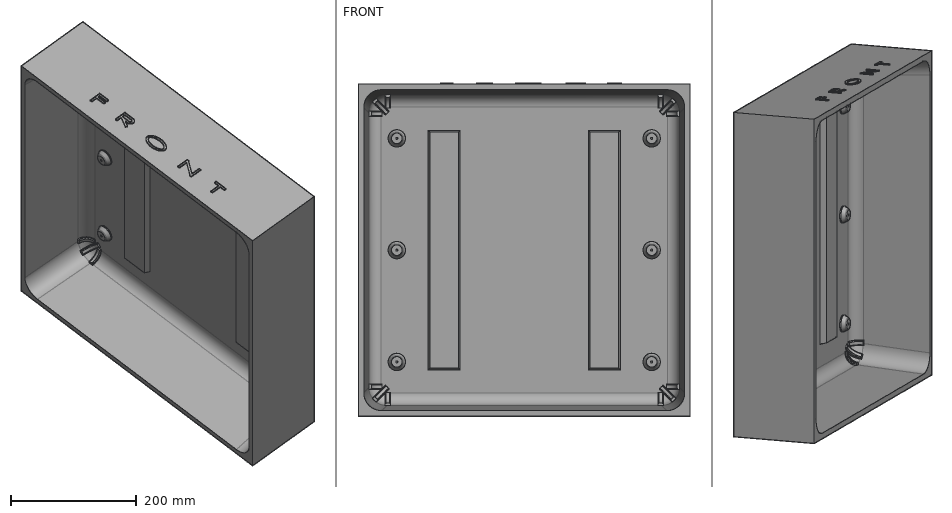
import cadquery as cq
import math

OVERALL_HEIGHT = 530.0
LETTER_RISE = 1.5
WIDTH = 527.0
HEIGHT = OVERALL_HEIGHT - LETTER_RISE
DEPTH = 137.0
WALL = 8.5
OPENING = WIDTH - 2 * WALL
WALL_DRAFT = 4.25
CORNER_RADIUS = 28.5
FLOOR_FILLET = 19.5

FRONT_Y = -DEPTH / 2
FLOOR_Y = DEPTH / 2 - WALL
CAVITY_DEPTH = DEPTH - WALL
FLOOR_INSET = WALL + CAVITY_DEPTH * math.tan(math.radians(WALL_DRAFT))

RIB_WIDTH = 8.5
RIB_RISE = 2.5
RIB_CHAMFER = 1.5
RIB_EMBED = 4.0
SIDE_RIB_TOE = CORNER_RADIUS - FLOOR_FILLET
DIAGONAL_RIB_TOE = 1.0

PAD_WIDTH = 51.0
PAD_LENGTH = 380.5
PAD_HEIGHT = 10.0
PAD_DRAFT = 15.0
PAD_OFFSET_X = 127.0

BOSS_BASE_RADIUS = 14.0
BOSS_TOP_RADIUS = 10.0
BOSS_HEIGHT = 10.0
BOSS_FOOT_HEIGHT = 2.0
BOSS_CHAMFER = 1.5
BOSS_HOLE_RADIUS = 1.5
BOSS_OFFSET_X = 202.5
BOSS_PITCH_Z = 177.5

LETTER_SIZE = 21.0
STROKE = 3.5
LETTER_BASE_Y = FRONT_Y + 26.0
F_LEFT, F_WIDTH = -133.0, 20.0
R_LEFT, R_WIDTH = -76.0, 25.5
O_CENTER, O_WIDTH, O_HEIGHT = 6.5, 40.5, 22.5
N_LEFT, N_WIDTH = 66.5, 31.0
T_LEFT, T_WIDTH = 132.0, 22.5


def floor_plane(x, z):
    """Plane on the cavity floor whose normal points to the open side."""
    return cq.Workplane(cq.Plane((x, FLOOR_Y, z), (1, 0, 0), (0, -1, 0)))


def make_tray():
    cavity = (
        cq.Workplane(cq.Plane((0, FRONT_Y, 0), (1, 0, 0), (0, 1, 0)))
        .rect(OPENING, OPENING)
        .extrude(CAVITY_DEPTH, taper=WALL_DRAFT)
    )
    cavity = cavity.edges("not(|X or |Z)").fillet(CORNER_RADIUS)
    cavity = cavity.faces(">Y").edges().fillet(FLOOR_FILLET)
    return cq.Workplane("XY").box(WIDTH, DEPTH, HEIGHT).cut(cavity)


def make_rib(toe):
    """Rib along +X from the corner axis; Y is the height above the floor."""
    heel = CORNER_RADIUS - RIB_RISE
    outer = CORNER_RADIUS + RIB_EMBED
    run = heel - toe
    climb = FLOOR_FILLET - RIB_RISE
    half_sweep = math.atan2(climb, run)
    arc_radius = run / math.sin(2 * half_sweep)
    arc_middle = (
        toe + arc_radius * math.sin(half_sweep),
        RIB_RISE + arc_radius * (1 - math.cos(half_sweep)),
    )
    return (
        cq.Workplane("XY", origin=(0, 0, -RIB_WIDTH / 2))
        .moveTo(outer, FLOOR_FILLET)
        .lineTo(outer, -RIB_EMBED)
        .lineTo(toe, -RIB_EMBED)
        .lineTo(toe, RIB_RISE)
        .threePointArc(arc_middle, (heel, FLOOR_FILLET))
        .close()
        .extrude(RIB_WIDTH)
        .faces("%CYLINDER")
        .edges("not |Z")
        .chamfer(RIB_CHAMFER)
    )


def make_corner_ribs(side_x, side_z):
    """Three ribs fanned out about the axis of one cavity corner."""
    axis_offset = WIDTH / 2 - FLOOR_INSET - CORNER_RADIUS
    ribs = []
    for direction_x, direction_z, toe in (
        (side_x, 0, SIDE_RIB_TOE),
        (side_x, side_z, DIAGONAL_RIB_TOE),
        (0, side_z, SIDE_RIB_TOE),
    ):
        heading = math.degrees(math.atan2(direction_z, direction_x))
        rib = make_rib(toe).rotate((0, 0, 0), (1, 0, 0), 180)
        rib = rib.rotate((0, 0, 0), (0, 1, 0), -heading)
        ribs.append(rib.translate((side_x * axis_offset, FLOOR_Y, side_z * axis_offset)))
    return ribs


def make_pad(x):
    return floor_plane(x, 0).rect(PAD_WIDTH, PAD_LENGTH).extrude(PAD_HEIGHT, taper=PAD_DRAFT)


def make_boss(x, z):
    """Boss with a short straight foot, a conical body and a central hole."""
    profile = [
        (BOSS_HOLE_RADIUS, 0),
        (BOSS_BASE_RADIUS, 0),
        (BOSS_BASE_RADIUS, -BOSS_FOOT_HEIGHT),
        (BOSS_TOP_RADIUS, BOSS_CHAMFER - BOSS_HEIGHT),
        (BOSS_TOP_RADIUS - BOSS_CHAMFER, -BOSS_HEIGHT),
        (BOSS_HOLE_RADIUS, -BOSS_HEIGHT),
    ]
    boss = cq.Workplane("XY").polyline(profile).close().revolve(360, (0, 0, 0), (0, 1, 0))
    return boss.translate((x, FLOOR_Y, z))


def letter_plane(x, y=0):
    """Plane on the top wall, with Y measured from the foot of the letters."""
    return cq.Workplane(cq.Plane((x, LETTER_BASE_Y + y, HEIGHT / 2)))


def make_stroke(x0, y0, x1, y1):
    """Straight letter stroke between two points of its centre line."""
    angle = math.degrees(math.atan2(y1 - y0, x1 - x0))
    return (
        letter_plane((x0 + x1) / 2, (y0 + y1) / 2)
        .transformed(rotate=(0, 0, angle))
        .rect(math.hypot(x1 - x0, y1 - y0), STROKE)
        .extrude(LETTER_RISE)
    )


def make_letters():
    half = STROKE / 2
    cap = LETTER_SIZE - half
    middle = LETTER_SIZE / 2

    def stem(x):
        return make_stroke(x, 0, x, LETTER_SIZE)

    letter_f = [
        stem(F_LEFT + half),
        make_stroke(F_LEFT, cap, F_LEFT + F_WIDTH, cap),
        make_stroke(F_LEFT, middle + half, F_LEFT + F_WIDTH, middle + half),
    ]

    bowl_radius = (LETTER_SIZE - middle + half) / 2
    bowl_x = R_LEFT + R_WIDTH - bowl_radius
    bowl_y = LETTER_SIZE - bowl_radius
    bowl_bar = 2 * bowl_y - cap
    bowl = (
        letter_plane(bowl_x, bowl_y)
        .moveTo(0, -bowl_radius)
        .threePointArc((bowl_radius, 0), (0, bowl_radius))
        .lineTo(0, bowl_radius - STROKE)
        .threePointArc((bowl_radius - STROKE, 0), (0, STROKE - bowl_radius))
        .close()
        .extrude(LETTER_RISE)
    )
    letter_r = [
        stem(R_LEFT + half),
        make_stroke(R_LEFT, cap, bowl_x, cap),
        make_stroke(R_LEFT, bowl_bar, bowl_x, bowl_bar),
        bowl,
        make_stroke(R_LEFT + STROKE + half, bowl_bar, R_LEFT + R_WIDTH - half, half),
    ]

    letter_o = [
        letter_plane(O_CENTER, middle)
        .ellipse(O_WIDTH / 2, O_HEIGHT / 2)
        .ellipse(O_WIDTH / 2 - STROKE, O_HEIGHT / 2 - STROKE)
        .extrude(LETTER_RISE)
    ]

    n_right = N_LEFT + N_WIDTH
    letter_n = [
        stem(N_LEFT + half),
        stem(n_right - half),
        make_stroke(N_LEFT + half, cap, n_right - half, half),
    ]

    letter_t = [
        stem(T_LEFT + T_WIDTH / 2),
        make_stroke(T_LEFT, cap, T_LEFT + T_WIDTH, cap),
    ]
    return letter_f + letter_r + letter_o + letter_n + letter_t


raised_features = make_letters()
for side_x in (-1, 1):
    raised_features.append(make_pad(side_x * PAD_OFFSET_X))
    for row in (-1, 0, 1):
        raised_features.append(make_boss(side_x * BOSS_OFFSET_X, row * BOSS_PITCH_Z))
    for side_z in (-1, 1):
        raised_features.extend(make_corner_ribs(side_x, side_z))

result = make_tray()
for feature in raised_features:
    result = result.union(feature)